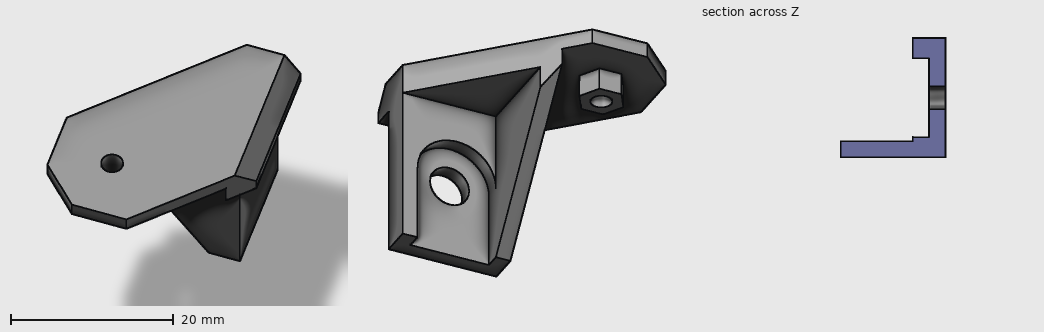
import cadquery as cq

LENGTH_X = 24.5
LENGTH_Y = 29.8
HEIGHT = 24.5

PLATE_THICKNESS = 2.0
BACK_LEFT_CUT = 17.5
FRONT_RIGHT_CUT = 12.63
FRONT_LEFT_CUT = 4.8

WALL_LEFT = BACK_LEFT_CUT
WALL_RIGHT = 21.55
WEB_FRONT = 15.1
WEB_THICKNESS = 2.0
WEB_BACK = WEB_FRONT + WEB_THICKNESS
WEB_SLOPE_DEPTH = 4.2
THICK_PLATE_DEPTH = 4.05

LIP_DEPTH = 4.5
LIP_CHAMFER_WIDTH = 2.1
LIP_CHAMFER_DEPTH = 3.0

CROSS_HOLE_DIAMETER = 5.3
CROSS_HOLE_ABOVE_FOOT = 10.0
CROSS_HOLE_Z = CROSS_HOLE_ABOVE_FOOT - HEIGHT
RECESS_WIDTH = 10.7
RECESS_DEPTH = 2.0
RECESS_Y = WEB_BACK + RECESS_WIDTH / 2

SCREW_X = 7.5
SCREW_Y = 7.5
SCREW_HOLE_DIAMETER = 2.7
BOSS_ACROSS_CORNERS = 6.0
BOSS_HEIGHT = 2.95


def box(x_range, y_range, z_range):
    """Axis-aligned box between the given limits."""
    size = [high - low for low, high in (x_range, y_range, z_range)]
    corner = (x_range[0], y_range[0], z_range[0])
    return cq.Workplane("XY").box(*size, centered=False).translate(corner)


def plan_prism():
    """Full-height prism with the outline of the part seen from above."""
    outline = [
        (FRONT_LEFT_CUT, 0),
        (LENGTH_X - FRONT_RIGHT_CUT, 0),
        (LENGTH_X, FRONT_RIGHT_CUT),
        (LENGTH_X, LENGTH_Y),
        (BACK_LEFT_CUT, LENGTH_Y),
        (0, LENGTH_Y - BACK_LEFT_CUT),
        (0, FRONT_LEFT_CUT),
    ]
    return cq.Workplane("XY").polyline(outline).close().extrude(-HEIGHT)


def plate_and_lip():
    """Plate profile with the chamfered lip, swept along the whole Y length."""
    profile = [
        (0, 0),
        (LENGTH_X - LIP_CHAMFER_WIDTH, 0),
        (LENGTH_X, -LIP_CHAMFER_DEPTH),
        (LENGTH_X, -LIP_DEPTH),
        (WALL_RIGHT, -LIP_DEPTH),
        (WALL_RIGHT, -PLATE_THICKNESS),
        (0, -PLATE_THICKNESS),
    ]
    return cq.Workplane("XZ").polyline(profile).close().extrude(-LENGTH_Y)


def gusset_web():
    """Web whose left side slopes down to the foot of the wall."""
    web_left = WEB_FRONT - (LENGTH_Y - BACK_LEFT_CUT)
    profile = [
        (web_left, 0),
        (WALL_RIGHT, 0),
        (WALL_RIGHT, -HEIGHT),
        (WALL_LEFT, -HEIGHT),
        (web_left, -WEB_SLOPE_DEPTH),
    ]
    web = cq.Workplane("XZ").polyline(profile).close().extrude(-WEB_THICKNESS)
    return web.translate((0, WEB_FRONT, 0))


def wall():
    """Upright wall behind the web, full height."""
    return box((WALL_LEFT, WALL_RIGHT), (WEB_BACK, LENGTH_Y), (-HEIGHT, 0))


def thick_plate():
    """Thicker part of the plate, behind the web and left of the wall."""
    return box((0, WALL_LEFT), (WEB_BACK, LENGTH_Y), (-THICK_PLATE_DEPTH, 0))


def wall_recess():
    """Round-topped recess in the left face of the wall."""
    face = cq.Workplane("YZ", origin=(WALL_LEFT, RECESS_Y, CROSS_HOLE_Z))
    half_width = RECESS_WIDTH / 2
    foot = -CROSS_HOLE_ABOVE_FOOT
    outline = (
        face.moveTo(-half_width, foot)
        .lineTo(-half_width, 0)
        .threePointArc((0, half_width), (half_width, 0))
        .lineTo(half_width, foot)
        .close()
    )
    return outline.extrude(RECESS_DEPTH)


def cross_hole():
    """Hole through the wall along X."""
    face = cq.Workplane("YZ", origin=(WALL_LEFT, RECESS_Y, CROSS_HOLE_Z))
    return face.circle(CROSS_HOLE_DIAMETER / 2).extrude(WALL_RIGHT - WALL_LEFT)


def screw_boss():
    """Hexagonal boss with two corners pointing along Y."""
    boss = cq.Workplane("XY").polygon(6, BOSS_ACROSS_CORNERS).extrude(-BOSS_HEIGHT)
    boss = boss.rotate((0, 0, 0), (0, 0, 1), 90)
    return boss.translate((SCREW_X, SCREW_Y, -PLATE_THICKNESS))


def screw_hole():
    """Vertical hole through the plate and the boss."""
    hole = cq.Workplane("XY").circle(SCREW_HOLE_DIAMETER / 2)
    return hole.extrude(-PLATE_THICKNESS - BOSS_HEIGHT).translate((SCREW_X, SCREW_Y, 0))


body = plate_and_lip().union(gusset_web()).union(wall()).union(thick_plate())
body = body.intersect(plan_prism()).union(screw_boss())
result = body.cut(wall_recess()).cut(cross_hole()).cut(screw_hole())